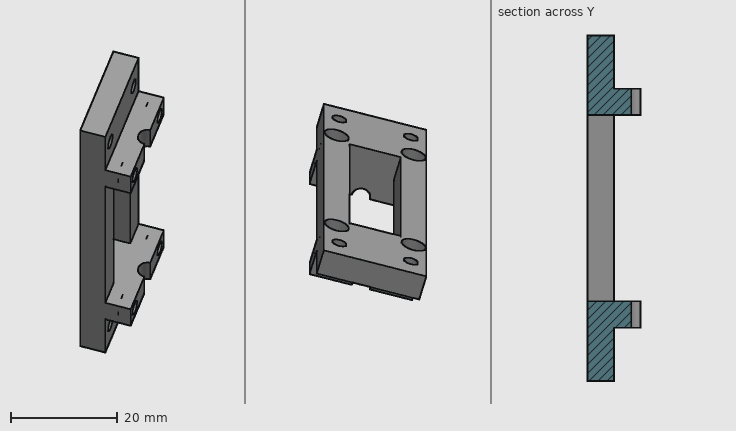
import cadquery as cq

length = 65.0
width = 20.0
plate_thickness = 5.0
bar_depth = 5.0
bar_height = 5.0
bar_spacing = 40.0
window_width = 10.0
window_height = bar_spacing - bar_height
depth = plate_thickness + bar_depth

hole_diameter = 2.7
counterbore_diameter = 4.7
counterbore_depth = 7.5
bar_hole_pitch = 15.0
corner_hole_pitch_y = 14.0
corner_hole_pitch_z = 55.0

notch_diameter = 3.5


def plate():
    return cq.Workplane("XY").box(plate_thickness, width, length, centered=(False, True, True))


def bar(z):
    return (
        cq.Workplane("XY")
        .box(bar_depth, width, bar_height, centered=(False, True, True))
        .translate((plate_thickness, 0, z))
    )


def window():
    return cq.Workplane("XY").box(
        plate_thickness, window_width, window_height, centered=(False, True, True)
    )


def hole_pattern(pitch_y, pitch_z, diameter, hole_depth):
    """Four holes entering from the flat face at X = 0."""
    return (
        cq.Workplane("YZ")
        .rarray(pitch_y, pitch_z, 2, 2)
        .circle(diameter / 2)
        .extrude(hole_depth)
    )


def notch():
    return (
        cq.Workplane("XY", origin=(depth, 0, -length / 2))
        .circle(notch_diameter / 2)
        .extrude(length)
    )


result = plate()
for side in (-1, 1):
    result = result.union(bar(side * bar_spacing / 2))

result = (
    result.cut(window())
    .cut(hole_pattern(corner_hole_pitch_y, corner_hole_pitch_z, hole_diameter, depth))
    .cut(hole_pattern(bar_hole_pitch, bar_spacing, hole_diameter, depth))
    .cut(hole_pattern(bar_hole_pitch, bar_spacing, counterbore_diameter, counterbore_depth))
    .cut(notch())
)